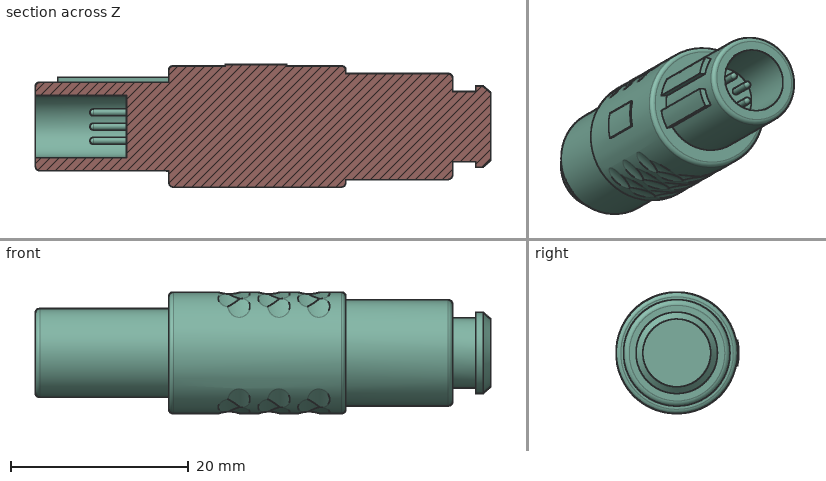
import cadquery as cq
import math

total_length = 51.3
nose_length = 15.05
grip_length = 19.95
rear_length = 12.05
flange_length = 1.7

nose_diameter = 10.0
grip_diameter = 13.7
rear_diameter = 12.0
neck_diameter = 7.95
flange_diameter = 9.2

edge_fillet = 0.5
rear_fillet = 0.6
flange_chamfer_length = 0.85
flange_chamfer_depth = 0.75

grip_start = nose_length
rear_start = grip_start + grip_length
neck_start = rear_start + rear_length
flange_start = total_length - flange_length
grip_radius = grip_diameter / 2

bore_diameter = 7.0
bore_depth = 10.25
pin_count = 6
pin_diameter = 0.75
pin_circle_radius = 1.85
pin_length = 4.1

key_start = 2.5
key_radius = 5.65
key_half_angle = 30.0
key_flank_slope = 15.0
key_slot_width = 1.75

pad_start = 21.4
pad_length = 6.9
pad_width = 2.85
pad_height = 0.15

scallop_depth = 0.2
scallop_radius = 3.9
scallop_cut_length = 4.1
scallop_pitch_angle = 26.6
scallop_group_start = 21.85
scallop_group_count = 3
scallop_group_pitch = 4.49
scallop_row_offset = 1.1


def rod(start, length, diameter, y=0, z=0):
    """Cylinder parallel to X, with its first end face at x = start."""
    return cq.Workplane("YZ", origin=(start, y, z)).circle(diameter / 2).extrude(length)


def side_block(start, length, reach, width):
    """Box from the axis out to y = reach, centred on z = 0."""
    block = cq.Workplane("XY").box(length, reach, width, centered=(False, False, True))
    return block.translate((start, 0, 0))


def make_body():
    nose = rod(0, grip_start, nose_diameter).faces("<X").edges().fillet(edge_fillet)
    grip = rod(grip_start, grip_length, grip_diameter).edges("%CIRCLE").fillet(edge_fillet)
    rear = rod(rear_start, rear_length, rear_diameter).faces(">X").edges().fillet(rear_fillet)
    neck = rod(neck_start, flange_start - neck_start, neck_diameter)
    rim_radius = flange_diameter / 2
    flange = (
        cq.Workplane("XY")
        .moveTo(flange_start, 0)
        .lineTo(flange_start, rim_radius)
        .lineTo(total_length - flange_chamfer_length, rim_radius)
        .lineTo(total_length, rim_radius - flange_chamfer_depth)
        .lineTo(total_length, 0)
        .close()
        .revolve(360, (0, 0, 0), (1, 0, 0))
    )
    return nose.union(grip).union(rear).union(neck).union(flange)


def make_keys():
    """Raised band centred on +Y with sloping flanks, split into two keys by a central slot."""
    length = grip_start - key_start
    half_angle = math.radians(key_half_angle)
    corner_y = key_radius * math.cos(half_angle)
    corner_z = key_radius * math.sin(half_angle)
    base_z = corner_z - corner_y * math.tan(math.radians(key_flank_slope))
    band = (
        cq.Workplane("YZ", origin=(key_start, 0, 0))
        .moveTo(0, -base_z)
        .lineTo(corner_y, -corner_z)
        .threePointArc((key_radius, 0), (corner_y, corner_z))
        .lineTo(0, base_z)
        .close()
        .extrude(length)
    )
    slot = side_block(key_start, length, key_radius, key_slot_width)
    inside = rod(key_start, length, nose_diameter - 2 * edge_fillet)
    return band.cut(slot).cut(inside)


def make_pad():
    """Low pad whose outer face follows the grip."""
    pad_radius = grip_radius + pad_height
    block = side_block(pad_start, pad_length, pad_radius, pad_width)
    pad = rod(pad_start, pad_length, 2 * pad_radius).intersect(block)
    return pad.cut(rod(pad_start, pad_length, grip_diameter - 2 * edge_fillet))


def make_pins():
    """Round-tipped pins standing on the floor of the socket."""
    pins = []
    tip_radius = pin_diameter / 2
    straight_start = bore_depth - pin_length + tip_radius
    root = tip_radius
    for index in range(pin_count):
        angle = math.radians(90 + index * 360 / pin_count)
        y = pin_circle_radius * math.cos(angle)
        z = pin_circle_radius * math.sin(angle)
        pin = rod(straight_start, bore_depth + root - straight_start, pin_diameter, y, z)
        tip = cq.Workplane("XY").sphere(tip_radius).translate((straight_start, y, z))
        pins.append(pin.union(tip))
    return pins


def scallop_cutter(x, angle):
    """Cylinder lying across the grip, turned about X by an angle from +Z."""
    axis_height = grip_radius - scallop_depth + scallop_radius
    return (
        cq.Workplane("XZ", origin=(x, scallop_cut_length / 2, axis_height))
        .circle(scallop_radius)
        .extrude(scallop_cut_length)
        .rotate((0, 0, 0), (1, 0, 0), angle)
    )


def cut_scallops(body):
    rows = (
        (0, (-1, 0, 1)),
        (scallop_row_offset, (-1.5, -0.5, 0.5, 1.5)),
    )
    for group in range(scallop_group_count):
        group_x = scallop_group_start + group * scallop_group_pitch
        for row_offset, steps in rows:
            for step in steps:
                for side_angle in (0, 180):
                    angle = side_angle + step * scallop_pitch_angle
                    body = body.cut(scallop_cutter(group_x + row_offset, angle))
    return body


result = cut_scallops(make_body())
result = result.union(make_keys()).union(make_pad())
result = result.cut(rod(0, bore_depth, bore_diameter))
for contact_pin in make_pins():
    result = result.union(contact_pin)